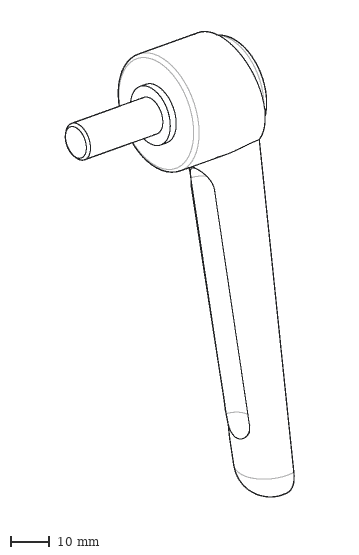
import cadquery as cq
import math

arc_middle = math.sqrt(0.5)

stud_radius = 5.0
stud_length = 25.0
stud_chamfer = 0.75
seat_radius = 8.0
seat_height = 2.0

hub_radius = 16.0
hub_edge_fillet = 1.0
hub_front = seat_height

back_plane_y = 25.0
lever_angle = 7.83

cap_radius = 14.0
cap_side_end = 26.4
cap_fillet = 2.0
cap_dome_height = 1.15
cap_shoulder = cap_side_end + cap_fillet
cap_root = hub_front + 2.0

lever_reach = 120.02
lever_root_radius = 12.4
lever_tip_radius = 9.52
tip_center = (lever_reach - lever_tip_radius) / math.cos(math.radians(lever_angle))

groove_radius = 5.0
groove_lift = 0.5
groove_start = 23.6
groove_end = 95.4


def tilt_to_lever(shape):
    """Move a shape from the lever frame (lever along -Z, back at y = 0) into place."""
    return shape.rotate((0, 0, 0), (1, 0, 0), lever_angle).translate((0, back_plane_y, 0))


def back_space(depth):
    """Box filling the space behind the back plane, in the lever frame."""
    size = 3 * lever_reach
    return cq.Workplane("XY").box(size, depth, size).translate((0, depth / 2, 0))


def make_stud():
    stud = cq.Workplane("XZ").circle(stud_radius).extrude(stud_length)
    stud = stud.faces("<Y").chamfer(stud_chamfer)
    seat = cq.Workplane("XZ").circle(seat_radius).extrude(-seat_height)
    return stud.union(seat)


def make_hub():
    hub = cq.Workplane("XZ", origin=(0, hub_front, 0)).circle(hub_radius).extrude(-back_plane_y)
    hub = hub.faces("<Y").edges().fillet(hub_edge_fillet)
    return hub.cut(tilt_to_lever(back_space(hub_radius * 2)))


def make_cap():
    dome_edge = cap_radius - cap_fillet
    dome_radius = (dome_edge**2 + cap_dome_height**2) / (2 * cap_dome_height)
    apex = cap_shoulder + cap_dome_height
    half_angle = math.asin(dome_edge / dome_radius) / 2
    dome_middle = (
        dome_radius * math.sin(half_angle),
        apex - dome_radius * (1 - math.cos(half_angle)),
    )
    fillet_middle = (
        dome_edge + cap_fillet * arc_middle,
        cap_side_end + cap_fillet * arc_middle,
    )
    return (
        cq.Workplane("XY")
        .moveTo(0, cap_root)
        .lineTo(cap_radius, cap_root)
        .lineTo(cap_radius, cap_side_end)
        .threePointArc(fillet_middle, (dome_edge, cap_shoulder))
        .threePointArc(dome_middle, (0, apex))
        .close()
        .revolve(360, (0, 0, 0), (0, 1, 0))
    )


def make_groove():
    """Round-ended cutter whose axis runs parallel to the crest of the lever."""
    def axis_height(distance):
        radius_drop = (lever_root_radius - lever_tip_radius) * distance / tip_center
        return lever_root_radius - radius_drop + groove_lift

    start = cq.Vector(0, -axis_height(groove_start), -groove_start)
    end = cq.Vector(0, -axis_height(groove_end), -groove_end)
    run = end - start
    groove = cq.Workplane(cq.Solid.makeCylinder(groove_radius, run.Length, start, run))
    for center in (start, end):
        groove = groove.union(cq.Workplane("XY").sphere(groove_radius).translate(center))
    return groove


def make_lever():
    tip_middle = lever_tip_radius * arc_middle
    bar = (
        cq.Workplane("XZ")
        .lineTo(lever_root_radius, 0)
        .lineTo(lever_tip_radius, -tip_center)
        .threePointArc((tip_middle, -tip_center - tip_middle), (0, -tip_center - lever_tip_radius))
        .close()
        .revolve(360, (0, 0, 0), (0, 1, 0))
    )
    lever = bar.cut(back_space(2 * lever_root_radius)).cut(make_groove())
    return tilt_to_lever(lever)


result = make_hub().union(make_lever()).union(make_cap()).union(make_stud())